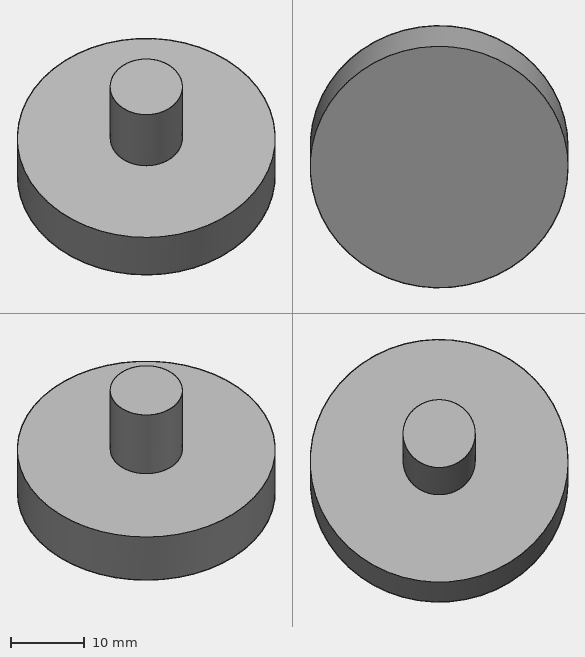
import cadquery as cq

disc_diameter = 35.0
disc_height = 8.0
stem_diameter = 9.8
total_height = 18.9
stem_height = total_height - disc_height

disc = cq.Workplane("XY").circle(disc_diameter / 2).extrude(disc_height)

result = disc.faces(">Z").workplane().circle(stem_diameter / 2).extrude(stem_height)